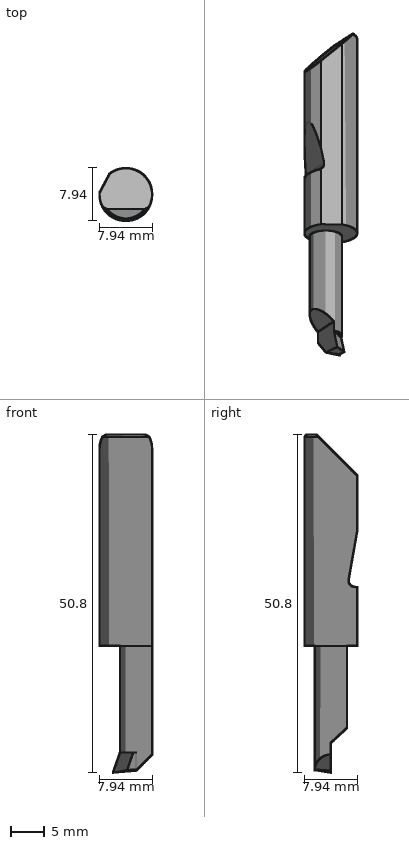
import cadquery as cq
import math


shank_diameter = 7.9375
shank_length = 31.75
shank_radius = shank_diameter / 2
end_chamfer = 0.38
bevel_top_y = -2.2
bevel_angle = 45.0

flat_direction = 152.0
flat_distance = 3.63

notch_bottom_z = 8.8
notch_top_z = 17.2
notch_angle = 10.0
notch_corner_radius = 0.9

neck_diameter = 4.87
neck_radius = neck_diameter / 2
neck_x = shank_radius - neck_radius
runout_start_z = -12.3
runout_angle = 43.0

tip_z = -19.04
tip_x = -1.96
head_top_z = -16.03
flank_top_x = neck_x - neck_radius
side_relief_angle = 39.5
end_relief_angle = 5.0
end_rise_angle = 5.0
corner_angle = 45.0


def slope(angle):
    return math.tan(math.radians(angle))


def end_face_z(x, depth):
    """Height of the head's end face at x, at a given depth behind the chip face."""
    return tip_z + (x - tip_x) * slope(end_rise_angle) + depth * slope(end_relief_angle)


def make_shank():
    shank = (
        cq.Workplane("XY")
        .circle(shank_radius)
        .extrude(shank_length)
        .faces(">Z")
        .chamfer(end_chamfer)
    )
    return shank.cut(end_bevel()).cut(side_flat()).cut(clamping_notch())


def end_bevel():
    """Wedge above the slanted end face."""
    reach_y = shank_diameter
    drop = (reach_y - bevel_top_y) * slope(bevel_angle)
    return (
        cq.Workplane("YZ")
        .moveTo(bevel_top_y, shank_length)
        .lineTo(reach_y, shank_length)
        .lineTo(reach_y, shank_length - drop)
        .close()
        .extrude(shank_radius, both=True)
    )


def side_flat():
    """Block outside the long flat."""
    return (
        cq.Workplane("XY")
        .box(shank_radius, shank_diameter, shank_length, centered=(False, True, False))
        .translate((flat_distance, 0, 0))
        .rotate((0, 0, 0), (0, 0, 1), flat_direction)
    )


def clamping_notch():
    """Tilted right-angled notch, open to +Y, with a rounded inner corner."""
    mouth = notch_top_z - notch_bottom_z
    tilt = math.radians(notch_angle)
    corner_y = shank_radius - mouth * math.sin(tilt) * math.cos(tilt)
    corner_z = notch_bottom_z + mouth * math.sin(tilt) ** 2
    return (
        cq.Workplane("XY")
        .box(shank_diameter, shank_radius, 2 * mouth, centered=(True, False, False))
        .edges("|X and <Y and <Z")
        .fillet(notch_corner_radius)
        .rotate((0, 0, 0), (1, 0, 0), -notch_angle)
        .translate((0, corner_y, corner_z))
    )


def make_neck():
    neck = cq.Workplane("XY").center(neck_x, 0).circle(neck_radius).extrude(tip_z)
    return neck.cut(chip_face_cut()).cut(head_corner_cut()).cut(head_clearance())


def chip_face_cut():
    """Removes the +Y half of the neck below the sloping run-out."""
    runout_end_z = runout_start_z - neck_radius * slope(runout_angle)
    return (
        cq.Workplane("YZ")
        .moveTo(neck_radius, runout_start_z)
        .lineTo(0, runout_end_z)
        .lineTo(0, tip_z)
        .lineTo(neck_radius, tip_z)
        .close()
        .extrude(shank_diameter, both=True)
    )


def head_corner_cut():
    """Bevels the +X corner of the head, starting at the end face below the neck axis."""
    corner_z = end_face_z(neck_x, 0)
    return (
        cq.Workplane("XZ")
        .moveTo(neck_x, tip_z)
        .lineTo(neck_x, corner_z)
        .lineTo(shank_radius, corner_z + neck_radius * slope(corner_angle))
        .lineTo(shank_radius, tip_z)
        .close()
        .extrude(neck_radius, both=True)
    )


def head_clearance():
    """Removes the -X half of the neck where the relieved cutting head takes over."""
    return (
        cq.Workplane("XY")
        .box(neck_radius, neck_diameter, head_top_z - tip_z, centered=(False, True, False))
        .translate((flank_top_x, 0, tip_z))
    )


def make_cutting_head():
    """Head between the chip face (y = 0) and the plane touching the neck's -Y side."""

    def section(depth):
        shift = depth * slope(side_relief_angle)
        flank_run = (flank_top_x - tip_x) / (head_top_z - tip_z)
        rise_at_tip = end_face_z(tip_x + shift, depth) - tip_z
        rise = rise_at_tip / (1 - flank_run * slope(end_rise_angle))
        points = [
            (flank_top_x + shift, head_top_z),
            (tip_x + shift + rise * flank_run, tip_z + rise),
            (neck_x, end_face_z(neck_x, depth)),
            (neck_x, head_top_z),
        ]
        vectors = [cq.Vector(x, -depth, z) for x, z in points]
        return cq.Wire.makePolygon(vectors, close=True)

    return cq.Workplane(cq.Solid.makeLoft([section(0), section(neck_radius)], True))


result = make_shank().union(make_neck()).union(make_cutting_head())